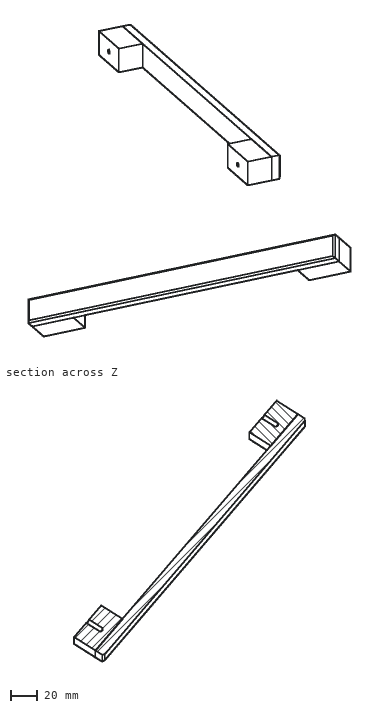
import cadquery as cq
import math

LENGTH = 259.0
HEIGHT = 20.0
DEPTH = 28.0

BAR_THICKNESS = 8.0
BAR_CHAMFER = 1.5

FOOT_LENGTH = 35.0
FOOT_DEPTH = DEPTH - BAR_THICKNESS

HOLE_RADIUS = 1.63
HOLE_DEPTH = 13.0
DRILL_POINT_ANGLE = 118.0


def make_bar():
    """Flat bar with its outer face at +Y, chamfered all around that face."""
    bar = cq.Workplane("XY").box(LENGTH, BAR_THICKNESS, HEIGHT)
    bar = bar.faces(">Y").edges().chamfer(BAR_CHAMFER)
    return bar.translate((0, FOOT_DEPTH + BAR_THICKNESS / 2, 0))


def make_drill_hole():
    """Solid of the screw hole: a cylinder from Y = 0 towards +Y with a conical tip."""
    tip_length = HOLE_RADIUS / math.tan(math.radians(DRILL_POINT_ANGLE / 2))
    half_section = (
        cq.Workplane("XY")
        .lineTo(HOLE_RADIUS, 0)
        .lineTo(HOLE_RADIUS, HOLE_DEPTH)
        .lineTo(0, HOLE_DEPTH + tip_length)
        .close()
    )
    return half_section.revolve(360, (0, 0, 0), (0, 1, 0))


def make_foot(center_x):
    """Rectangular foot with a blind screw hole in its mounting face at Y = 0."""
    foot = cq.Workplane("XY").box(FOOT_LENGTH, FOOT_DEPTH, HEIGHT)
    foot = foot.translate((0, FOOT_DEPTH / 2, 0)).cut(make_drill_hole())
    return foot.translate((center_x, 0, 0))


bar = make_bar()

foot_offset = (LENGTH - FOOT_LENGTH) / 2
feet = [make_foot(side * foot_offset) for side in (-1, 1)]

result = cq.Compound.makeCompound([bar.val(), *[foot.val() for foot in feet]])